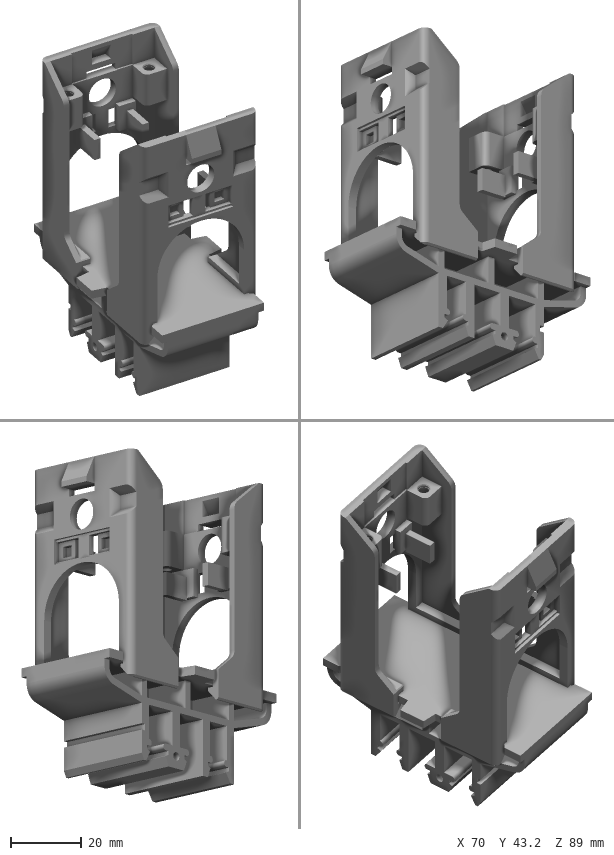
import cadquery as cq
import math

total_height = 89.0
bevel_angle = 45
plate_length = 70.0
ear_span = 43.2

plate_width = 33.9
plate_top = 29.3
plate_thickness = 2.7
plate_bottom = plate_top - plate_thickness
ear_root_width = 9.8
ear_tip_width = 8.2
neck_half_width = 15.9
neck_clearance = 0.3
neck_taper = 0.7

body_width = 30.1
body_bottom = 16.55
skirt_corner_z = 20.65
skirt_radius = 5.0
skirt_thickness = 2.05
flange_half = 19.4
skirt_slope = (skirt_corner_z - body_bottom) / (plate_length / 2 - flange_half)
rib_thickness = 2.2
cell_floor_thickness = 2.0
web_thickness = 2.0

leg_thickness = 3.1
nub_low = 4.5
nub_high = 6.5
nub_reach = 1.1
throat_depth = 0.9
throat_low = 3.4
long_claw = 0.4
short_claw = 0.1
claw_z = 2.85
square_heel = (0, 0)
release_heel = (1.0, 1.9)
release_toe = 1.9
inner_toe = 2.1
outer_toe = 1.6
foot_toe = 3.2
inner_leg_x = 6.2
foot_x = -4.9
foot_half_thickness = 4.3
foot_bore_diameter = 2.5
foot_bore_z = 3.6
release_notch_z = 9.6
release_notch_height = 1.9
release_notch_depth = 1.3

frame_outer_x = 28.3
frame_width = 38.3
frame_bottom = 22.25
frame_corner_radius = 2.1
frame_bottom_chamfer = 0.5
wall_thickness = 2.85
wall_inner_x = frame_outer_x - wall_thickness
wing_thickness = 1.9
wing_inner_y = frame_width / 2 - wing_thickness
wing_edge_x = 15.0
wing_foot_x = 8.4
wing_upper_z = 80.9
wing_lower_z = 36.3
wing_foot_z = 31.1
wing_bend_radius = 3.1
ledge_thickness = 2.05
ledge_top = plate_top + ledge_thickness
hook_gap = 0.4
hook_lip_height = 0.9

arch_radius = 14.4
arch_center_z = 44.2
wire_hole_diameter = 9.0
wire_hole_z = 72.9
catch_half_width = 4.9
catch_reach = 3.2
catch_bottom = 81.1
catch_edge_z = 82.7
catch_window_bottom = 78.85
catch_pocket_half_width = 3.2
catch_pocket_depth = 3.0
catch_pocket_bottom = 82.95
catch_pocket_height = 4.7
relief_half_width = 10.15
relief_depth = 0.5

grip_inner_y = 10.8
grip_z = 74.3
grip_height = 8.5
grip_depth = 2.1

label_half_width = 10.7
label_z = 63.55
label_height = 7.3
label_depth = 0.9
pocket_height = 6.0
pocket_inner_y = 4.45
pocket_depth = 2.05
slot_inner_y = 2.05
key_hole_size = 3.3
key_hole_y = 7.4
key_hole_depth = 1.7

boss_length = 6.9
boss_inner_y = 10.0
boss_bottom = 68.5
boss_top = 78.9
boss_corner_radius = 1.8
screw_hole_diameter = 3.0
screw_counterbore_diameter = 3.3
screw_counterbore_depth = 0.8
screw_hole_chamfer = 0.3
screw_hole_x = 22.0
screw_hole_y = 13.4
pad_thickness = 1.9
pad_bottom = 59.45
pad_top = 67.8
fin_tip_x = 14.95
fin_thickness = 2.05
fin_y = 8.0
fin_bottom = 58.7
fin_top = 65.5


def block(x_range, y_range, z_range):
    """Box given by its low and high limits along each axis."""
    spans = [high - low for low, high in (x_range, y_range, z_range)]
    corner = (x_range[0], y_range[0], z_range[0])
    return cq.Workplane("XY").box(*spans, centered=False).translate(corner)


def side_prism(points, width):
    """Closed X-Z outline extruded along Y, centred on Y = 0."""
    return cq.Workplane("XZ").polyline(points).close().extrude(width / 2, both=True)


def both_sides(shape):
    """The shape together with its mirror image across the X-Z plane."""
    return shape.union(shape.mirror("XZ"))


def base_plate():
    half_x = plate_length / 2
    half_y = plate_width / 2
    ear_points = [
        (-ear_root_width / 2, half_y),
        (-ear_tip_width / 2, ear_span / 2),
        (ear_tip_width / 2, ear_span / 2),
        (ear_root_width / 2, half_y),
    ]
    ear = cq.Workplane("XY", origin=(0, 0, plate_bottom)).polyline(ear_points).close()
    plate = block((-half_x, half_x), (-half_y, half_y), (plate_bottom, plate_top))
    plate = plate.union(both_sides(ear.extrude(plate_thickness)))

    notch_points = [
        (wall_inner_x, half_y),
        (wall_inner_x, neck_half_width),
        (frame_outer_x + neck_clearance, neck_half_width),
        (frame_outer_x + neck_clearance + neck_taper, half_y),
    ]
    notch = cq.Workplane("XY", origin=(0, 0, plate_bottom)).polyline(notch_points).close()
    notches = both_sides(notch.extrude(plate_thickness))
    return plate.cut(notches).cut(notches.mirror("YZ"))


def skirt_prism(inset, drop, radius, width):
    """Sloping +X end of the underside, moved in by `inset` at its tip and up by `drop` at its bottom."""
    outer_x = plate_length / 2 - inset
    corner_z = skirt_corner_z + drop - skirt_slope * inset
    points = [
        (flange_half, plate_bottom),
        (outer_x, plate_bottom),
        (outer_x, corner_z),
        (flange_half, body_bottom + drop),
    ]
    corner = cq.selectors.NearestToPointSelector((outer_x, 0, corner_z))
    return side_prism(points, width).edges("|Y").edges(corner).fillet(radius)


def underside(width):
    """Solid underside: a flat middle with a sloping skirt at each end."""
    middle = block((-flange_half, flange_half), (-width / 2, width / 2), (body_bottom, plate_bottom))
    skirt = skirt_prism(0, 0, skirt_radius, width)
    return middle.union(skirt).union(skirt.mirror("YZ"))


def base_cells():
    """Cells open to the sides on the +X half, running the full body width."""
    outer_cell = skirt_prism(
        skirt_thickness,
        skirt_thickness * math.hypot(1, skirt_slope),
        skirt_radius - skirt_thickness,
        body_width,
    )
    inner_cell = block(
        (rib_thickness / 2, flange_half - rib_thickness),
        (-body_width / 2, body_width / 2),
        (body_bottom + cell_floor_thickness, plate_bottom),
    )
    return outer_cell.union(inner_cell)


def base_body():
    cells = base_cells()
    body = underside(body_width).cut(cells).cut(cells.mirror("YZ"))
    return body.union(underside(web_thickness))


def hooked_leg(back_x, side, thickness, top, heel, toe, claw):
    """Leg from its flat back at `back_x`; `side` is the X direction that its nub and claw point to.

    `heel` is the (distance, height) of the bevel at the foot of the back.
    """
    heel_run, heel_rise = heel
    nub_middle = (nub_low + nub_high) / 2
    throat = thickness - throat_depth

    def at(distance, z):
        return (back_x + side * distance, z)

    outline = (
        cq.Workplane("XZ")
        .moveTo(*at(thickness, top))
        .lineTo(*at(0, top))
        .lineTo(*at(0, heel_rise))
    )
    if heel_run > 0:
        outline = outline.lineTo(*at(heel_run, 0))
    outline = (
        outline.lineTo(*at(toe, 0))
        .lineTo(*at(thickness + claw, claw_z))
        .lineTo(*at(throat, throat_low))
        .lineTo(*at(throat, nub_low))
        .lineTo(*at(thickness, nub_low))
        .threePointArc(at(thickness + nub_reach, nub_middle), at(thickness, nub_high))
    )
    return outline.close().extrude(body_width / 2, both=True)


def release_leg():
    leg = hooked_leg(-flange_half, 1, leg_thickness, body_bottom, release_heel, release_toe, long_claw)
    notch = block(
        (-flange_half, -flange_half + release_notch_depth),
        (-body_width / 2, body_width / 2),
        (release_notch_z - release_notch_height / 2, release_notch_z + release_notch_height / 2),
    )
    return leg.cut(notch)


def rail_foot():
    """T-shaped foot: a stem above two mirrored hooks, bored along Y."""
    foot = block(
        (foot_x - leg_thickness / 2, foot_x + leg_thickness / 2),
        (-body_width / 2, body_width / 2),
        (nub_high, body_bottom),
    )
    for side in (-1, 1):
        hook = hooked_leg(
            foot_x, side, foot_half_thickness, nub_high, square_heel, foot_toe, short_claw
        )
        foot = foot.union(hook)
    bore = (
        cq.Workplane("XZ")
        .center(foot_x, foot_bore_z)
        .circle(foot_bore_diameter / 2)
        .extrude(body_width / 2, both=True)
    )
    return foot.cut(bore)


def make_base():
    inner_leg = hooked_leg(inner_leg_x, 1, leg_thickness, body_bottom, square_heel, inner_toe, short_claw)
    outer_leg = hooked_leg(flange_half, -1, leg_thickness, body_bottom, square_heel, outer_toe, long_claw)
    base = base_plate().union(base_body())
    for part in (release_leg(), rail_foot(), inner_leg, outer_leg):
        base = base.union(part)
    return base


def frame_shell():
    """Rounded U of end wall and two wings, cut to the wing outline."""
    half_y = frame_width / 2
    shell = block((-frame_outer_x, -wing_foot_x), (-half_y, half_y), (frame_bottom, total_height))
    shell = shell.edges("|Z and <X").fillet(frame_corner_radius)
    open_end = cq.selectors.NearestToPointSelector((-wing_foot_x, 0, frame_bottom))
    shell = shell.edges(cq.selectors.SubtractSelector(cq.selectors.StringSyntaxSelector("<Z"), open_end))
    shell = shell.chamfer(frame_bottom_chamfer)

    outline = [
        (-frame_outer_x, frame_bottom),
        (-wing_foot_x, frame_bottom),
        (-wing_foot_x, wing_foot_z),
        (-wing_edge_x, wing_lower_z),
        (-wing_edge_x, wing_upper_z),
        (-wall_inner_x, total_height),
        (-frame_outer_x, total_height),
    ]
    wing = side_prism(outline, frame_width)
    for bend_z in (wing_lower_z, wing_upper_z):
        bend = cq.selectors.NearestToPointSelector((-wing_edge_x, 0, bend_z))
        wing = wing.edges("|Y").edges(bend).fillet(wing_bend_radius)
    return shell.intersect(wing)


def frame_inside():
    """Space between the wings, stepped to leave ledges above the plate and hooks below it."""
    inside = (-wall_inner_x, -wing_foot_x)
    full = (-frame_outer_x, -wing_foot_x)
    hook_top = plate_bottom - hook_gap
    between_wings = block(inside, (-wing_inner_y, wing_inner_y), (ledge_top, total_height))
    between_ledges = block(inside, (-arch_radius, arch_radius), (plate_top, ledge_top))
    plate_groove = block(inside, (-plate_width / 2, plate_width / 2), (hook_top, plate_top))
    neck_slot = block(full, (-neck_half_width, neck_half_width), (hook_top, plate_top))
    between_hooks = block(full, (-body_width / 2, body_width / 2), (frame_bottom, hook_top))

    hook_y = body_width / 2
    bevel = hook_top - hook_lip_height - frame_bottom
    bevel_points = [(hook_y, frame_bottom), (hook_y + bevel, frame_bottom), (hook_y, frame_bottom + bevel)]
    hook_bevel = cq.Workplane("YZ").polyline(bevel_points).close().extrude(-frame_outer_x)

    space = both_sides(hook_bevel)
    for step in (between_wings, between_ledges, plate_groove, neck_slot, between_hooks):
        space = space.union(step)
    return space


def wall_openings():
    """Arch, round hole and catch window, all through the end wall."""
    wall = (-frame_outer_x, -wall_inner_x)

    def round_opening(radius, z):
        start = cq.Workplane("YZ", origin=(-frame_outer_x, 0, z))
        return start.circle(radius).extrude(wall_thickness)

    arch = round_opening(arch_radius, arch_center_z)
    arch = arch.union(block(wall, (-arch_radius, arch_radius), (plate_top, arch_center_z)))
    wire_hole = round_opening(wire_hole_diameter / 2, wire_hole_z)
    window = block(wall, (-catch_half_width, catch_half_width), (catch_window_bottom, catch_bottom))
    return arch.union(wire_hole).union(window)


def catch_wedge():
    points = [
        (-frame_outer_x, total_height),
        (-frame_outer_x - catch_reach, catch_edge_z),
        (-frame_outer_x - catch_reach, catch_bottom),
        (-wall_inner_x, catch_bottom),
        (-wall_inner_x, total_height),
    ]
    return side_prism(points, 2 * catch_half_width)


def catch_relief():
    """Shallow relief inside the wall top, with a triangular pocket behind the catch."""
    relief_x = -wall_inner_x - relief_depth
    relief = block(
        (relief_x, -wall_inner_x), (-relief_half_width, relief_half_width), (boss_top, total_height)
    )
    pocket_points = [
        (relief_x, catch_pocket_bottom),
        (relief_x - catch_pocket_depth, catch_pocket_bottom),
        (relief_x, catch_pocket_bottom + catch_pocket_height),
    ]
    return relief.union(side_prism(pocket_points, 2 * catch_pocket_half_width))


def grip_recess():
    """Corner recess open to the outside, with its other three sides sloping at 45 degrees."""
    half_y = frame_width / 2
    rim = (
        cq.Workplane("YZ", origin=(-frame_outer_x, 0, 0))
        .center((grip_inner_y + half_y + grip_depth) / 2, grip_z)
        .rect(half_y + grip_depth - grip_inner_y, grip_height)
    )
    return rim.extrude(grip_depth, taper=bevel_angle)


def label_recess():
    def recess(y_range, height, depth):
        x_range = (-frame_outer_x, -frame_outer_x + depth)
        return block(x_range, y_range, (label_z - height / 2, label_z + height / 2))

    half_key = key_hole_size / 2
    key_range = (key_hole_y - half_key, key_hole_y + half_key)
    pocket = recess((pocket_inner_y, label_half_width), pocket_height, pocket_depth)
    slot = recess((slot_inner_y, pocket_inner_y), pocket_height, wall_thickness)
    key_hole = recess(key_range, key_hole_size, pocket_depth + key_hole_depth)
    label = recess((-label_half_width, label_half_width), label_height, label_depth)
    return label.union(both_sides(pocket.union(slot).union(key_hole)))


def screw_boss():
    boss = block(
        (-wall_inner_x, -wall_inner_x + boss_length), (boss_inner_y, wing_inner_y), (boss_bottom, boss_top)
    )
    boss = boss.edges("|Z and >X and <Y").fillet(boss_corner_radius)
    top = cq.Workplane("XY", origin=(-screw_hole_x, screw_hole_y, boss_top))
    bore = top.circle(screw_hole_diameter / 2).extrude(boss_bottom - boss_top)
    counterbore_radius = screw_counterbore_diameter / 2
    counterbore = top.circle(counterbore_radius).extrude(-screw_counterbore_depth)
    entry = top.circle(counterbore_radius + screw_hole_chamfer)
    entry = entry.extrude(-screw_hole_chamfer, taper=bevel_angle)
    return boss.cut(bore).cut(counterbore).cut(entry)


def guide_fin():
    """Pad behind a keyed pocket, carrying a fin that points into the frame."""
    pad_x = -wall_inner_x + pad_thickness
    pad = block((-wall_inner_x, pad_x), (pocket_inner_y, boss_inner_y), (pad_bottom, pad_top))
    fin_range = (fin_y - fin_thickness / 2, fin_y + fin_thickness / 2)
    return pad.union(block((pad_x, -fin_tip_x), fin_range, (fin_bottom, fin_top)))


def make_frame(turn):
    """Frame for the -X side, turned by `turn` degrees about Z."""
    frame = frame_shell().cut(frame_inside()).union(catch_wedge())
    frame = frame.union(both_sides(screw_boss())).union(both_sides(guide_fin()))
    for opening in (wall_openings(), catch_relief(), both_sides(grip_recess()), label_recess()):
        frame = frame.cut(opening)
    return frame.rotate((0, 0, 0), (0, 0, 1), turn)


base = make_base()
frames = [make_frame(turn) for turn in (0, 180)]
bodies = [base, *frames]
result = cq.Compound.makeCompound([body.solids().val() for body in bodies])